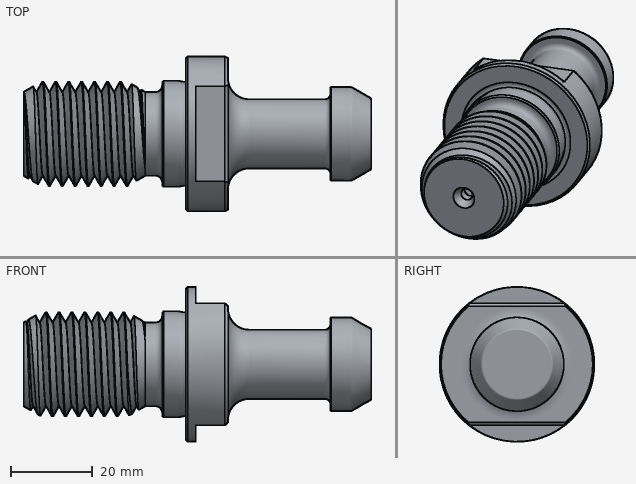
import cadquery as cq
import math

LENGTH = 85.2

THREAD_RADIUS = 12.8
CORE_RADIUS = 10.3
EIGHT_PITCHES = 25.4
PITCH = EIGHT_PITCHES / 8
CREST_WIDTH = 0.25
THREAD_END = 29.7
HELIX_START = -5.6
HELIX_TURNS = 12
ROOT_OVERLAP = 0.1
FLANK_ANGLE = math.radians(30)
THREAD_TAPER = math.radians(30)

NECK_FILLET = 1.5
COLLAR_START = 33.9
COLLAR_RADIUS = 13.0
COLLAR_EDGE = 0.4
COLLAR_TAPER_START = 38.0
RELIEF_START = 39.1
RELIEF_RADIUS = 12.8
UNDERCUT_HALF_WIDTH = 0.7

FLANGE_START = 39.7
FLANGE_END = 50.1
FLANGE_RADIUS = 19.0
FLANGE_CHAMFER = 0.5
REAR_CHAMFER_LENGTH = 0.8
REAR_CHAMFER_DEPTH = 0.4
FLAT_CHAMFER = 0.8
FLAT_START = 42.2
FLAT_HALF_SPACING = 15.0

STEM_RADIUS = 8.5
STEM_FILLET = 5.1
HEAD_START = 75.15
HEAD_RADIUS = 11.5
HEAD_FILLET = 1.3
HEAD_EDGE = 0.25
HEAD_TAPER_START = 80.35
HEAD_TAPER = math.radians(30)
HEAD_TAPER_FILLET = 0.9
HEAD_END_FILLET = 0.6

CENTRE_MOUTH_RADIUS = 2.7
CENTRE_PILOT_RADIUS = 1.45
CENTRE_CONE_ANGLE = math.radians(30)
CENTRE_PILOT_LENGTH = 2.55
DRILL_TIP_ANGLE = math.radians(59)


def revolve_about_x(outline):
    return outline.close().revolve(360, (0, 0, 0), (1, 0, 0))


def inner_arc(outline, start, end, centre):
    """Add the short arc about a centre that lies outside the material."""
    radius = math.dist(start, centre)
    middle = ((start[0] + end[0]) / 2, (start[1] + end[1]) / 2)
    scale = radius / math.dist(middle, centre)
    point = tuple(c + (m - c) * scale for m, c in zip(middle, centre))
    return outline.threePointArc(point, end)


def make_body():
    neck_end = COLLAR_START - NECK_FILLET
    stem_start = FLANGE_END + STEM_FILLET
    stem_end = HEAD_START - HEAD_FILLET
    end_radius = HEAD_RADIUS - (LENGTH - HEAD_TAPER_START) * math.tan(HEAD_TAPER)

    outline = cq.Workplane("XY").lineTo(0, CORE_RADIUS).lineTo(neck_end, CORE_RADIUS)
    outline = inner_arc(
        outline,
        (neck_end, CORE_RADIUS),
        (COLLAR_START, CORE_RADIUS + NECK_FILLET),
        (neck_end, CORE_RADIUS + NECK_FILLET),
    )
    outline = (
        outline.lineTo(COLLAR_START, COLLAR_RADIUS - COLLAR_EDGE)
        .lineTo(COLLAR_START + COLLAR_EDGE, COLLAR_RADIUS)
        .lineTo(COLLAR_TAPER_START, COLLAR_RADIUS)
        .lineTo(RELIEF_START, RELIEF_RADIUS)
        .lineTo(FLANGE_START, RELIEF_RADIUS)
    )
    undercut_end = RELIEF_RADIUS + 2 * UNDERCUT_HALF_WIDTH
    outline = inner_arc(
        outline,
        (FLANGE_START, RELIEF_RADIUS),
        (FLANGE_START, undercut_end),
        (FLANGE_START - UNDERCUT_HALF_WIDTH, RELIEF_RADIUS + UNDERCUT_HALF_WIDTH),
    )
    outline = (
        outline.lineTo(FLANGE_START, FLANGE_RADIUS - FLANGE_CHAMFER)
        .lineTo(FLANGE_START + FLANGE_CHAMFER, FLANGE_RADIUS)
        .lineTo(FLANGE_END - REAR_CHAMFER_LENGTH, FLANGE_RADIUS)
        .lineTo(FLANGE_END, FLANGE_RADIUS - REAR_CHAMFER_DEPTH)
        .lineTo(FLANGE_END, STEM_RADIUS + STEM_FILLET)
    )
    outline = inner_arc(
        outline,
        (FLANGE_END, STEM_RADIUS + STEM_FILLET),
        (stem_start, STEM_RADIUS),
        (stem_start, STEM_RADIUS + STEM_FILLET),
    )
    outline = outline.lineTo(stem_end, STEM_RADIUS)
    outline = inner_arc(
        outline,
        (stem_end, STEM_RADIUS),
        (HEAD_START, STEM_RADIUS + HEAD_FILLET),
        (stem_end, STEM_RADIUS + HEAD_FILLET),
    )
    outline = (
        outline.lineTo(HEAD_START, HEAD_RADIUS - HEAD_EDGE)
        .lineTo(HEAD_START + HEAD_EDGE, HEAD_RADIUS)
        .lineTo(HEAD_TAPER_START, HEAD_RADIUS)
        .lineTo(LENGTH, end_radius)
        .lineTo(LENGTH, 0)
    )
    body = revolve_about_x(outline)
    shoulder = cq.selectors.NearestToPointSelector((HEAD_TAPER_START, 0, 0))
    body = body.edges(shoulder).fillet(HEAD_TAPER_FILLET)
    return body.faces(">X").edges().fillet(HEAD_END_FILLET)


def cut_wrench_flats(body):
    """Cut both flats, with a 45 degree bevel along their +X edge."""
    cutter = (
        cq.Workplane("XZ")
        .moveTo(FLAT_START, FLANGE_RADIUS)
        .lineTo(FLAT_START, FLAT_HALF_SPACING)
        .lineTo(FLANGE_END - FLAT_CHAMFER, FLAT_HALF_SPACING)
        .lineTo(FLANGE_END, FLAT_HALF_SPACING - FLAT_CHAMFER)
        .lineTo(FLANGE_END, FLANGE_RADIUS)
        .close()
        .extrude(FLANGE_RADIUS, both=True)
    )
    return body.cut(cutter).cut(cutter.mirror("XY"))


def make_thread():
    """Right-hand helical ridge, trimmed to a cone at both ends."""
    base_radius = CORE_RADIUS - ROOT_OVERLAP
    crest_half = CREST_WIDTH / 2
    base_half = crest_half + (THREAD_RADIUS - base_radius) * math.tan(FLANK_ANGLE)
    corners = (
        (base_radius, -base_half),
        (THREAD_RADIUS, -crest_half),
        (THREAD_RADIUS, crest_half),
        (base_radius, base_half),
    )
    helices = [
        cq.Wire.makeHelix(PITCH, HELIX_TURNS * PITCH, radius, center=cq.Vector(0, 0, offset))
        for radius, offset in corners
    ]
    faces = [
        cq.Face.makeRuledSurface(helix, helices[index - 1])
        for index, helix in enumerate(helices)
    ]
    for height in (0, HELIX_TURNS * PITCH):
        section = [cq.Vector(radius, 0, height + offset) for radius, offset in corners]
        faces.append(cq.Face.makeFromWires(cq.Wire.makePolygon(section, close=True)))
    ridge = (
        cq.Workplane(cq.Solid.makeSolid(cq.Shell.makeShell(faces)))
        .rotate((0, 0, 0), (0, 1, 0), 90)
        .translate((HELIX_START, 0, 0))
    )
    taper_length = (THREAD_RADIUS - CORE_RADIUS) / math.tan(THREAD_TAPER)
    envelope = revolve_about_x(
        cq.Workplane("XY")
        .lineTo(0, CORE_RADIUS)
        .lineTo(taper_length, THREAD_RADIUS)
        .lineTo(THREAD_END - taper_length, THREAD_RADIUS)
        .lineTo(THREAD_END, CORE_RADIUS)
        .lineTo(THREAD_END, 0)
    )
    return ridge.intersect(envelope)


def make_centre_hole():
    cone_depth = (CENTRE_MOUTH_RADIUS - CENTRE_PILOT_RADIUS) / math.tan(CENTRE_CONE_ANGLE)
    pilot_depth = cone_depth + CENTRE_PILOT_LENGTH
    tip_depth = pilot_depth + CENTRE_PILOT_RADIUS / math.tan(DRILL_TIP_ANGLE)
    return revolve_about_x(
        cq.Workplane("XY")
        .lineTo(0, CENTRE_MOUTH_RADIUS)
        .lineTo(cone_depth, CENTRE_PILOT_RADIUS)
        .lineTo(pilot_depth, CENTRE_PILOT_RADIUS)
        .lineTo(tip_depth, 0)
    )


body = cut_wrench_flats(make_body())
result = body.union(make_thread()).cut(make_centre_hole())